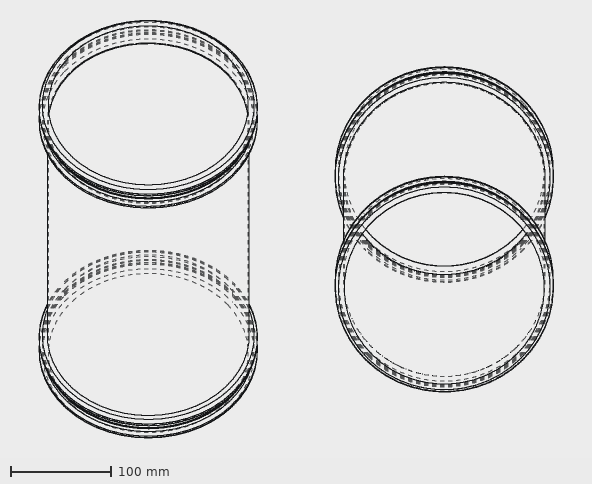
import cadquery as cq

total_height = 409.0
bore_diameter = 200.0
tube_diameter = 202.0

collar_height = 29.5
bead_diameter = 218.5
band_diameter = 211.8
bead_rim_height = 3.0
bevel_size = (bead_diameter - band_diameter) / 2
bead_height = bead_rim_height + 2 * bevel_size

groove_width = 1.2
groove_depth = 0.5


def ring(outer_diameter, height, base_z):
    """Plain ring around the Z axis with the common bore."""
    return (
        cq.Workplane("XY")
        .workplane(offset=base_z)
        .circle(outer_diameter / 2)
        .circle(bore_diameter / 2)
        .extrude(height)
    )


def make_bead(base_z):
    """Ring whose two outer edges are bevelled down to the band diameter."""
    return ring(bead_diameter, bead_height, base_z).edges("%CIRCLE").edges(
        cq.selectors.RadiusNthSelector(-1)
    ).chamfer(bevel_size)


def make_band(base_z):
    """Recessed band over the full collar height, with its fine groove."""
    band = ring(band_diameter, collar_height, base_z)
    groove_z = base_z + (collar_height - groove_width) / 2
    groove_floor_diameter = band_diameter - 2 * groove_depth
    groove = ring(band_diameter, groove_width, groove_z).cut(
        ring(groove_floor_diameter, groove_width, groove_z)
    )
    return band.cut(groove)


def make_collar(base_z):
    """Grooved band with a bead at each end."""
    collar = make_band(base_z)
    for bead_z in (base_z, base_z + collar_height - bead_height):
        collar = collar.union(make_bead(bead_z))
    return collar


def make_flanged_tube():
    """Thin tube with the lower collar formed at its foot."""
    tube = ring(tube_diameter, total_height - collar_height, 0)
    return tube.union(make_collar(0))


flanged_tube = make_flanged_tube()
upper_collar = make_collar(total_height - collar_height)

result = cq.Compound.makeCompound([flanged_tube.val(), upper_collar.val()])